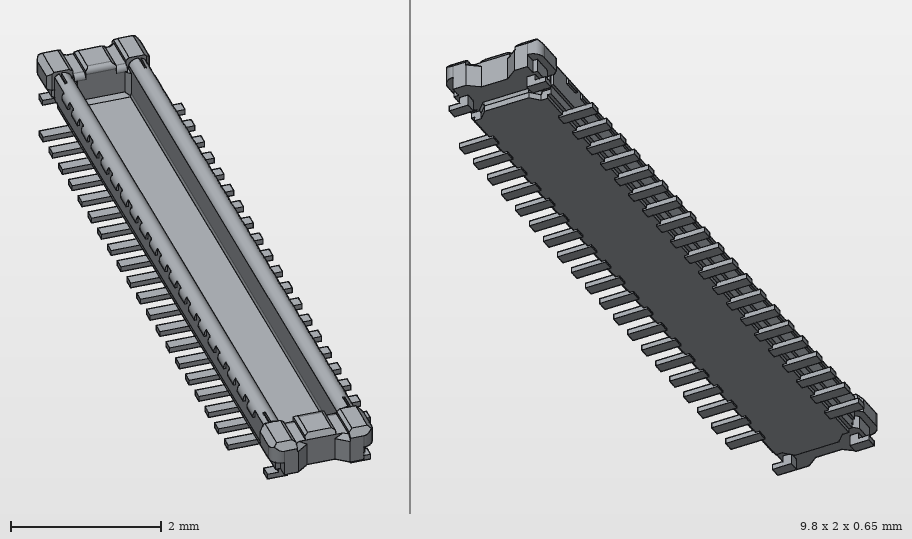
import cadquery as cq
import math

LENGTH = 9.8
LEAD_SPAN = 2.0
HEIGHT = 0.65

TRAY_LENGTH = 8.6
WALL_OUTER_Y = 0.64
WALL_INNER_Y = 0.4
SKIRT_Y = 0.6
KEEL_Y = 0.55
KEEL_Z = 0.03
SKIRT_BOTTOM_Z = 0.09
SKIRT_TOP_Z = 0.23
FLOOR_Z = 0.12
RAIL_RADIUS = 0.14
RAIL_Y = 0.53
RAIL_Z = 0.5
END_RAMP_LENGTH = 0.07
SIDE_RAMP_WIDTH = 0.015
RAMP_HEIGHT = 0.05
POCKET_CORNER = 0.07
SLIT_LENGTH = 0.24
SLIT_WIDTH = 0.03
SLIT_DEPTH = 0.05
SLIT_Y = 0.56

CONTACTS_PER_ROW = 20
CONTACT_SPAN = 7.6
CONTACT_PITCH = CONTACT_SPAN / (CONTACTS_PER_ROW - 1)
CONTACT_WIDTH = 0.245
CONTACT_BOTTOM_Z = 0.48
LEAD_WIDTH = 0.16
LEAD_THICKNESS = 0.08
LEAD_ROOT_Y = 0.49

END_X = LENGTH / 2
BLOCK_BOTTOM_Z = 0.17
POST_INNER_X = 4.33
POST_OUTER_Y = 0.73
POST_INNER_Y = 0.37
POST_LEDGE_Y = 0.63
POST_LEDGE_Z = 0.36
POST_CORNER_RADIUS = 0.17
POST_NOTCH_X = 4.74
POST_NOTCH_Y = 0.56
POST_CORNER_CHAMFER = 0.06
POST_STEM_CHAMFER = 0.13
TOP_BEVEL_HEIGHT = 0.08
POST_BEVEL_WIDTH = 0.09
POST_END_BEVEL_HEIGHT = 0.1
GROOVE_BEVEL_WIDTH = 0.05
GROOVE_BEVEL_HEIGHT = 0.034
BRIDGE_TOP_Z = 0.57
BRIDGE_BEVEL = 0.07
BRIDGE_INNER_X = 4.25
BRIDGE_ROUND = 0.08
END_WALL_TOP_Z = BRIDGE_TOP_Z - BRIDGE_ROUND
NOTCH_X = 4.77
NOTCH_MOUTH_Y = 0.36
NOTCH_FLOOR_Y = 0.2
PAD_Y = 0.22
PAD_BEVEL_WIDTH = 0.06

TONGUE_X = 4.43
TONGUE_TIP_Y = 0.33
TONGUE_ROOT_Y = 0.45
TONGUE_FLARE_Z = 0.12
TONGUE_FLARE_ANGLE = 25
FOOT_X = 4.62
FOOT_INNER_Y = 0.44
FOOT_BEND_Y = 0.57
FOOT_OUTER_Y = 0.73


def box(x0, x1, y0, y1, z0, z1):
    """Box given by its limits along each axis."""
    return cq.Workplane("XY").box(x1 - x0, y1 - y0, z1 - z0, centered=False).translate((x0, y0, z0))


def along_x(profile, x_start, x_end):
    """Extrude a sketch drawn on the YZ plane between two X positions."""
    return profile.extrude(x_end - x_start).translate((x_start, 0, 0))


def both_sides(half, plane):
    """Join a shape with its mirror image across the given plane."""
    return half.union(half.mirror(plane))


def arc_height(y):
    """Height of the round wall top at a given Y."""
    return RAIL_Z + math.sqrt(RAIL_RADIUS**2 - (y - RAIL_Y) ** 2)


def make_side():
    """Half of the tray: floor, stepped skirt and a wall with a round top."""
    profile = (
        cq.Workplane("YZ")
        .moveTo(0, KEEL_Z)
        .lineTo(KEEL_Y, KEEL_Z)
        .lineTo(KEEL_Y, SKIRT_BOTTOM_Z)
        .lineTo(SKIRT_Y, SKIRT_BOTTOM_Z)
        .lineTo(SKIRT_Y, SKIRT_TOP_Z)
        .lineTo(WALL_OUTER_Y, SKIRT_TOP_Z)
        .lineTo(WALL_OUTER_Y, arc_height(WALL_OUTER_Y))
        .threePointArc((RAIL_Y, RAIL_Z + RAIL_RADIUS), (WALL_INNER_Y, arc_height(WALL_INNER_Y)))
        .lineTo(WALL_INNER_Y, FLOOR_Z + RAMP_HEIGHT)
        .lineTo(WALL_INNER_Y - SIDE_RAMP_WIDTH, FLOOR_Z)
        .lineTo(0, FLOOR_Z)
        .close()
    )
    side = along_x(profile, -TRAY_LENGTH / 2, TRAY_LENGTH / 2)
    slit = box(
        TRAY_LENGTH / 2 - SLIT_LENGTH,
        TRAY_LENGTH / 2,
        SLIT_Y - SLIT_WIDTH / 2,
        SLIT_Y + SLIT_WIDTH / 2,
        arc_height(SLIT_Y) - SLIT_DEPTH,
        HEIGHT,
    )
    return side.cut(both_sides(slit, "YZ"))


def make_contact(x):
    """Contact bulge that carries the rail curve outward, and the lead below it."""
    bulge_profile = (
        cq.Workplane("YZ")
        .moveTo(RAIL_Y, CONTACT_BOTTOM_Z)
        .lineTo(RAIL_Y + RAIL_RADIUS, CONTACT_BOTTOM_Z)
        .lineTo(RAIL_Y + RAIL_RADIUS, RAIL_Z)
        .radiusArc((RAIL_Y, RAIL_Z + RAIL_RADIUS), -RAIL_RADIUS)
        .close()
    )
    bulge = along_x(bulge_profile, x - CONTACT_WIDTH / 2, x + CONTACT_WIDTH / 2)
    lead = box(x - LEAD_WIDTH / 2, x + LEAD_WIDTH / 2, LEAD_ROOT_Y, LEAD_SPAN / 2, 0, LEAD_THICKNESS)
    return bulge.union(lead)


def end_bevel(x_end, width, height):
    """Envelope whose top edge is bevelled at x_end."""
    return (
        cq.Workplane("XZ")
        .moveTo(0, 0)
        .lineTo(x_end, 0)
        .lineTo(x_end, HEIGHT - height)
        .lineTo(x_end - width, HEIGHT)
        .lineTo(0, HEIGHT)
        .close()
        .extrude(LEAD_SPAN / 2, both=True)
    )


def make_post():
    """Side post of the +X end block, undercut below its outer ledge."""
    post = box(POST_INNER_X, END_X, POST_INNER_Y, POST_OUTER_Y, POST_LEDGE_Z, HEIGHT)
    post = post.edges("|Z and >X and >Y").fillet(POST_CORNER_RADIUS)
    post = post.edges("|Z and <X and >Y").chamfer(POST_CORNER_CHAMFER)
    stem = box(POST_INNER_X, END_X, POST_INNER_Y, POST_LEDGE_Y, BLOCK_BOTTOM_Z, POST_LEDGE_Z)
    stem = stem.edges("|Z and <X and >Y").chamfer(POST_STEM_CHAMFER)
    stem = stem.cut(box(POST_NOTCH_X, END_X, POST_NOTCH_Y, POST_LEDGE_Y, BLOCK_BOTTOM_Z, POST_LEDGE_Z))
    bevel_y = (
        cq.Workplane("YZ")
        .moveTo(POST_INNER_Y, 0)
        .lineTo(POST_OUTER_Y, 0)
        .lineTo(POST_OUTER_Y, HEIGHT - TOP_BEVEL_HEIGHT)
        .lineTo(POST_OUTER_Y - POST_BEVEL_WIDTH, HEIGHT)
        .lineTo(POST_INNER_Y + GROOVE_BEVEL_WIDTH, HEIGHT)
        .lineTo(POST_INNER_Y, HEIGHT - GROOVE_BEVEL_HEIGHT)
        .close()
    )
    post = post.union(stem).intersect(along_x(bevel_y, 0, END_X))
    return post.intersect(end_bevel(END_X, POST_BEVEL_WIDTH, POST_END_BEVEL_HEIGHT))


def make_bridge():
    """Bridge joining the posts, with a splayed notch in its outer face."""
    bridge = (
        cq.Workplane("XY")
        .workplane(offset=BLOCK_BOTTOM_Z)
        .moveTo(BRIDGE_INNER_X, -POST_INNER_Y)
        .lineTo(END_X, -POST_INNER_Y)
        .lineTo(END_X, -NOTCH_MOUTH_Y)
        .lineTo(NOTCH_X, -NOTCH_FLOOR_Y)
        .lineTo(NOTCH_X, NOTCH_FLOOR_Y)
        .lineTo(END_X, NOTCH_MOUTH_Y)
        .lineTo(END_X, POST_INNER_Y)
        .lineTo(BRIDGE_INNER_X, POST_INNER_Y)
        .close()
        .extrude(BRIDGE_TOP_Z - BLOCK_BOTTOM_Z)
    )
    bridge = bridge.faces(">Z").edges("<X").fillet(BRIDGE_ROUND)
    splayed_edges = bridge.faces(">Z").edges("not(|X or |Y)")
    return splayed_edges.chamfer(BRIDGE_BEVEL)


def make_pad():
    """Raised pad on the middle of the bridge."""
    profile = (
        cq.Workplane("YZ")
        .moveTo(-PAD_Y, BLOCK_BOTTOM_Z)
        .lineTo(PAD_Y, BLOCK_BOTTOM_Z)
        .lineTo(PAD_Y, HEIGHT - GROOVE_BEVEL_HEIGHT)
        .lineTo(PAD_Y - GROOVE_BEVEL_WIDTH, HEIGHT)
        .lineTo(GROOVE_BEVEL_WIDTH - PAD_Y, HEIGHT)
        .lineTo(-PAD_Y, HEIGHT - GROOVE_BEVEL_HEIGHT)
        .close()
    )
    pad = along_x(profile, BRIDGE_INNER_X, NOTCH_X)
    rounded = box(BRIDGE_INNER_X, NOTCH_X, -PAD_Y, PAD_Y, 0, HEIGHT).edges("<X and >Z").fillet(BRIDGE_ROUND)
    return pad.intersect(rounded).intersect(end_bevel(NOTCH_X, PAD_BEVEL_WIDTH, TOP_BEVEL_HEIGHT))


def make_end_wall():
    """Lower part of the +X end: closing wall, floor ramp and pocket corners."""
    wall = box(BRIDGE_INNER_X, POST_INNER_X, -WALL_INNER_Y, WALL_INNER_Y, KEEL_Z, END_WALL_TOP_Z)
    ramp = (
        cq.Workplane("XZ")
        .moveTo(BRIDGE_INNER_X, FLOOR_Z)
        .lineTo(BRIDGE_INNER_X - END_RAMP_LENGTH, FLOOR_Z)
        .lineTo(BRIDGE_INNER_X, FLOOR_Z + RAMP_HEIGHT)
        .close()
        .extrude(WALL_INNER_Y, both=True)
    )
    corner = (
        cq.Workplane("XY")
        .workplane(offset=FLOOR_Z)
        .moveTo(BRIDGE_INNER_X, WALL_INNER_Y)
        .lineTo(BRIDGE_INNER_X - POCKET_CORNER, WALL_INNER_Y)
        .lineTo(BRIDGE_INNER_X, WALL_INNER_Y - POCKET_CORNER)
        .close()
        .extrude(END_WALL_TOP_Z - FLOOR_Z)
    )
    link = box(BRIDGE_INNER_X, POST_INNER_X, WALL_INNER_Y, SKIRT_Y, BLOCK_BOTTOM_Z, RAIL_Z)
    return wall.union(ramp).union(both_sides(link.union(corner), "XZ"))


def tongue_outline(z):
    """Plan outline of the tongue, drawn at height z."""
    root_x = TRAY_LENGTH / 2
    return (
        cq.Workplane("XY")
        .workplane(offset=z)
        .moveTo(root_x, -TONGUE_ROOT_Y)
        .lineTo(TONGUE_X, -TONGUE_TIP_Y)
        .lineTo(TONGUE_X, TONGUE_TIP_Y)
        .lineTo(root_x, TONGUE_ROOT_Y)
        .close()
    )


def make_tongue():
    """Tapered tongue under the +X end block, flared where it meets the block."""
    tongue = tongue_outline(KEEL_Z).extrude(TONGUE_FLARE_Z - KEEL_Z)
    flare = tongue_outline(TONGUE_FLARE_Z).extrude(BLOCK_BOTTOM_Z - TONGUE_FLARE_Z, taper=-TONGUE_FLARE_ANGLE)
    return tongue.union(flare)


def make_foot():
    """L-shaped anchor foot under a post."""
    x0 = FOOT_X - LEAD_WIDTH / 2
    x1 = FOOT_X + LEAD_WIDTH / 2
    leg = box(x0, x1, FOOT_INNER_Y, FOOT_BEND_Y, 0, BLOCK_BOTTOM_Z)
    return leg.union(box(x0, x1, FOOT_INNER_Y, FOOT_OUTER_Y, 0, LEAD_THICKNESS))


side = make_side()
for index in range(CONTACTS_PER_ROW):
    side = side.union(make_contact(index * CONTACT_PITCH - CONTACT_SPAN / 2))
tray = both_sides(side, "XZ")

posts = both_sides(make_post().union(make_foot()), "XZ")
end = make_bridge().union(make_pad()).union(posts).union(make_end_wall()).union(make_tongue())

result = tray.union(both_sides(end, "YZ"))